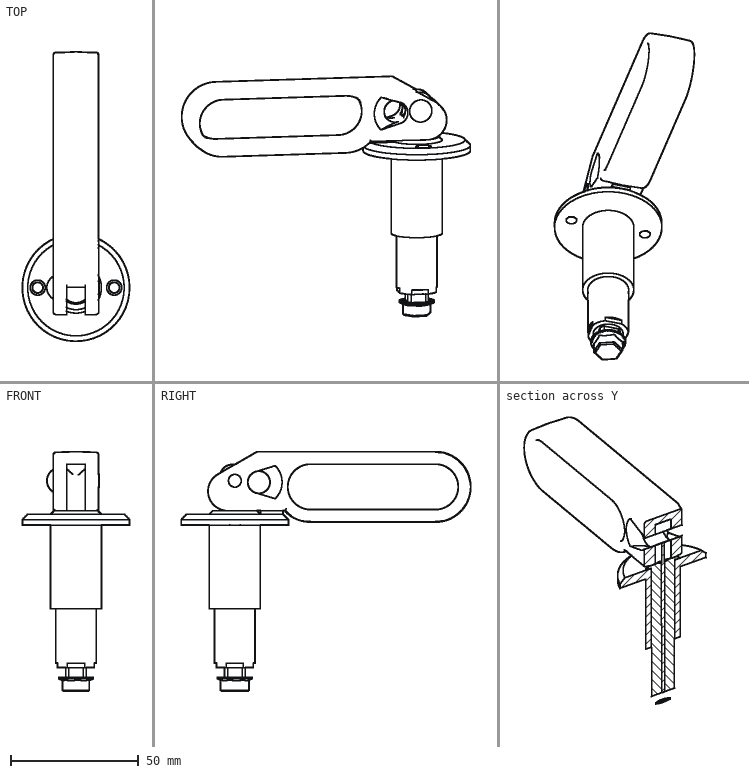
import cadquery as cq
import math


total_length = 113.2

flange_diameter = 42.0
flange_top = 4.3
flange_chamfer = 2.2
sleeve_diameter = 20.0
sleeve_length = 32.7
screw_hole_radius = 2.0
screw_hole_offset = 15.0
screw_hole_chamfer = 0.9

rotor_diameter = 16.0
rotor_bottom = -55.7
rotor_head_height = 1.4
rotor_head_top_radius = 8.6
rotor_bore_chamfer = 0.6
rotor_flat_spacing = 14.5
rotor_flat_height = 1.8

eye_width = 7.2
eye_radius = 5.9
eye_top = 23.8
eye_fillet = 5.1
square_size = 8.2
square_corner_radius = 5.0
spindle_bottom = -59.5

bolt_flange_radius = 6.8
bolt_rim_thickness = 0.6
bolt_cone_height = 0.8
bolt_head_width = 10.0
bolt_head_turn = 8
bolt_bottom = -65.0
bolt_edge_fillet = 0.6
bolt_end_chamfer = 0.6
bolt_shank_radius = 3.0
bolt_shank_length = 9.1
tooth_count = 40
tooth_depth = 0.3
tooth_length = 1.6

handle_width = 17.8
handle_draft = 2
handle_fillet = 1.1
ridge_fillet = 0.8
grip_radius = 13.8
grip_slot_radius = 8.8
grip_near_y = 29.6
handle_top = 28.8
nose_radius = 7.6
nose_y = -3.0
slope_angle = 30

padlock_y = 9.4
padlock_z = 16.8
padlock_radius = 4.3
flare_radius = 9.1
flare_lip = 0.7
flare_angle = 17
flare_depth = 4.3

pin_z = 17.3
pin_radius = 2.5
pin_end_x = 9.2
pin_head_radius = 4.4
pin_head_height = 2.5

pad_width = 7.2

flange_radius = flange_diameter / 2
sleeve_radius = sleeve_diameter / 2
rotor_radius = rotor_diameter / 2
rotor_top = flange_top + rotor_head_height
rotor_head_radius = rotor_head_top_radius + rotor_head_height
flange_top_radius = flange_radius - flange_chamfer
eye_bottom = rotor_top - rotor_bore_chamfer
half_width = handle_width / 2
grip_far_y = total_length - flange_radius - grip_radius
grip_z = handle_top - grip_radius
grip_length = grip_far_y - grip_near_y
grip_center_y = (grip_far_y + grip_near_y) / 2
nose_z = rotor_top + nose_radius
slope = math.radians(slope_angle)
slope_end_y = nose_y - nose_radius * math.sin(slope)
slope_end_z = nose_z + nose_radius * math.cos(slope)
ridge_y = slope_end_y + (handle_top - slope_end_z) / math.tan(slope)


def cylinder(radius, bottom, top):
    return cq.Workplane("XY", origin=(0, 0, bottom)).circle(radius).extrude(top - bottom)


def cone(bottom_radius, top_radius, bottom, top):
    return cq.Workplane(cq.Solid.makeCone(bottom_radius, top_radius, top - bottom, pnt=cq.Vector(0, 0, bottom)))


def cross_cylinder(radius, y, z):
    """Cylinder along X that passes through the whole handle."""
    return cq.Workplane("YZ").center(y, z).circle(radius).extrude(handle_width, both=True)


def both_sides(half):
    """Join a half that starts at X = 0 to its mirror image."""
    return half.union(half.mirror("YZ"))


def make_housing():
    flange = cylinder(flange_radius, 0, flange_top).faces(">Z").chamfer(flange_chamfer)
    housing = flange.union(cylinder(sleeve_radius, -sleeve_length, 0))
    housing = housing.cut(cylinder(rotor_radius, -sleeve_length, flange_top))
    screw_places = [(-screw_hole_offset, 0), (screw_hole_offset, 0)]
    return (
        housing.faces(">Z").workplane(origin=(0, 0, flange_top)).pushPoints(screw_places)
        .cskHole(2 * screw_hole_radius, 2 * (screw_hole_radius + screw_hole_chamfer), 90)
    )


def make_square_shaft(bottom, top):
    """Square bar with its corners turned round."""
    bar = cq.Workplane("XY", origin=(0, 0, bottom)).rect(square_size, square_size).extrude(top - bottom)
    return bar.intersect(cylinder(square_corner_radius, bottom, top))


def make_rotor():
    rotor = cylinder(rotor_radius, rotor_bottom, flange_top)
    flat_top = rotor_bottom + rotor_flat_height
    flats = (
        cq.Workplane("XY", origin=(0, 0, rotor_bottom))
        .rect(rotor_flat_spacing, rotor_flat_spacing).extrude(rotor_flat_height)
    )
    tip = cylinder(rotor_radius, rotor_bottom, flat_top).intersect(flats)
    rotor = rotor.intersect(cylinder(rotor_radius, flat_top, flange_top)).union(tip)
    head = cone(rotor_head_radius, rotor_head_top_radius, flange_top, rotor_top)
    bore = cylinder(eye_radius, rotor_bottom, rotor_top)
    bore_mouth = cone(eye_radius, eye_radius + rotor_bore_chamfer, eye_bottom, rotor_top)
    return rotor.union(head).cut(bore).cut(bore_mouth)


def make_spindle():
    eye_height = eye_top - eye_bottom
    eye_block = (
        cq.Workplane("XY", origin=(0, 0, eye_bottom)).rect(eye_width, 2 * eye_radius).extrude(eye_height)
        .faces(">Z").edges("|X").fillet(eye_fillet)
    )
    eye = eye_block.intersect(cylinder(eye_radius, eye_bottom, eye_top))
    eye = eye.cut(cross_cylinder(pin_radius, 0, pin_z))
    eye = eye.cut(cross_cylinder(padlock_radius, padlock_y, padlock_z))
    shank_hole = cylinder(bolt_shank_radius, spindle_bottom, spindle_bottom + bolt_shank_length)
    stem = cylinder(eye_radius, rotor_bottom, eye_bottom)
    return eye.union(stem).union(make_square_shaft(spindle_bottom, rotor_bottom)).cut(shank_hole)


def make_bolt():
    rim_bottom = spindle_bottom - bolt_rim_thickness
    cone_bottom = rim_bottom - bolt_cone_height
    corner_radius = bolt_head_width / math.sqrt(3)
    head = (
        cq.Workplane("XY", origin=(0, 0, bolt_bottom)).polygon(6, 2 * corner_radius)
        .extrude(rim_bottom - bolt_bottom)
        .edges("|Z").fillet(bolt_edge_fillet)
        .faces("<Z").chamfer(bolt_end_chamfer)
        .rotate((0, 0, 0), (0, 0, 1), 30 + bolt_head_turn)
    )
    flange = (
        cq.Workplane("XZ").moveTo(0, cone_bottom)
        .lineTo(bolt_head_width / 2, cone_bottom)
        .lineTo(bolt_flange_radius, rim_bottom)
        .lineTo(bolt_flange_radius, spindle_bottom)
        .lineTo(0, spindle_bottom)
        .close().revolve()
    )
    groove_half = math.pi * bolt_flange_radius / tooth_count / 2
    groove_start = bolt_flange_radius - tooth_length
    groove = (
        cq.Workplane("YZ", origin=(groove_start, 0, spindle_bottom))
        .polyline([(-groove_half, 0), (groove_half, 0), (0, -tooth_depth)]).close()
        .extrude(tooth_length)
    )
    for tooth in range(tooth_count):
        flange = flange.cut(groove.rotate((0, 0, 0), (0, 0, 1), tooth * 360 / tooth_count))
    shank = cylinder(bolt_shank_radius, spindle_bottom, spindle_bottom + bolt_shank_length)
    return head.union(flange).union(shank)


def make_grip():
    """Drafted stadium bar, widest on the middle plane."""
    half = (
        cq.Workplane("YZ").center(grip_center_y, grip_z)
        .slot2D(grip_length + 2 * grip_radius, 2 * grip_radius)
        .extrude(half_width, taper=handle_draft)
    )
    return both_sides(half)


def make_grip_slot():
    """Hand opening, narrowest on the middle plane."""
    half = (
        cq.Workplane("YZ").center(grip_center_y, grip_z)
        .slot2D(grip_length + 2 * grip_slot_radius, 2 * grip_slot_radius)
        .extrude(half_width, taper=-handle_draft)
    )
    return both_sides(half)


def make_head():
    """Flat-sided head with a sloped front and a round nose, under the drafted top of the grip."""
    prism = (
        cq.Workplane("YZ").moveTo(grip_near_y, rotor_top)
        .lineTo(nose_y, rotor_top)
        .threePointArc((nose_y - nose_radius, nose_z), (slope_end_y, slope_end_z))
        .lineTo(ridge_y, handle_top)
        .lineTo(grip_near_y, handle_top)
        .close().extrude(half_width, both=True)
    )
    envelope_half = (
        cq.Workplane("YZ").center(grip_center_y, grip_z)
        .rect(2 * total_length, 2 * grip_radius)
        .extrude(half_width, taper=handle_draft)
    )
    return prism.intersect(both_sides(envelope_half))


def make_flare():
    """Conical recess from the padlock hole to the left face, between two walls tangent to the hole."""
    recess = (
        cq.Workplane("XY").moveTo(0, 0)
        .lineTo(0, padlock_radius)
        .lineTo(-half_width + flare_depth, padlock_radius)
        .lineTo(-half_width + flare_lip, flare_radius - flare_lip)
        .lineTo(-half_width, flare_radius)
        .lineTo(-half_width, 0)
        .close().revolve(360, (0, 0, 0), (1, 0, 0))
    )
    tilt = math.radians(flare_angle)
    touch_y = -padlock_radius * math.sin(tilt)
    touch_z = padlock_radius * math.cos(tilt)
    far_y = flare_radius
    far_z = touch_z + (far_y - touch_y) * math.tan(tilt)
    wedge = (
        cq.Workplane("YZ")
        .polyline([(touch_y, touch_z), (far_y, far_z), (far_y, -far_z), (touch_y, -touch_z)])
        .close().extrude(-half_width)
    )
    return recess.intersect(wedge).translate((0, padlock_y, padlock_z))


def make_handle():
    handle = make_grip().union(make_head()).cut(make_grip_slot())
    ridge_zone = cq.selectors.BoxSelector(
        (-half_width, ridge_y - ridge_fillet, handle_top - ridge_fillet),
        (half_width, ridge_y + ridge_fillet, handle_top + ridge_fillet),
    )
    handle = handle.edges(ridge_zone).fillet(ridge_fillet)
    handle = handle.faces("<X or >X").edges().fillet(handle_fillet)
    slot_length = eye_radius - nose_y + nose_radius
    eye_slot = (
        cq.Workplane("XY", origin=(0, eye_radius - slot_length / 2, 0))
        .rect(eye_width, slot_length).extrude(eye_top)
    )
    handle = handle.cut(eye_slot)
    handle = handle.cut(cross_cylinder(pin_radius, 0, pin_z))
    handle = handle.cut(cross_cylinder(padlock_radius, padlock_y, padlock_z))
    flare = make_flare()
    return handle.cut(flare).cut(flare.mirror("YZ"))


def make_pin():
    dome_radius = (pin_head_radius ** 2 + pin_head_height ** 2) / (2 * pin_head_height)
    head = (
        cq.Workplane("XY").moveTo(-half_width, 0)
        .lineTo(-half_width, pin_head_radius)
        .radiusArc((-half_width - pin_head_height, 0), -dome_radius)
        .close().revolve(360, (0, 0, 0), (1, 0, 0))
    )
    shaft = cq.Workplane("YZ", origin=(-half_width, 0, 0)).circle(pin_radius).extrude(half_width + pin_end_x)
    return head.union(shaft).translate((0, 0, pin_z))


def make_pad():
    length = flange_top_radius - rotor_head_radius
    return (
        cq.Workplane("XY", origin=(0, rotor_head_radius + length / 2, flange_top))
        .rect(pad_width, length).extrude(rotor_head_height)
    )


housing = make_housing()
rotor = make_rotor()
spindle = make_spindle()
bolt = make_bolt()
handle = make_handle()
pin = make_pin()
pad = make_pad()

result = cq.Compound.makeCompound(
    [housing.val(), rotor.val(), spindle.val(), bolt.val(), handle.val(), pin.val(), pad.val()]
)